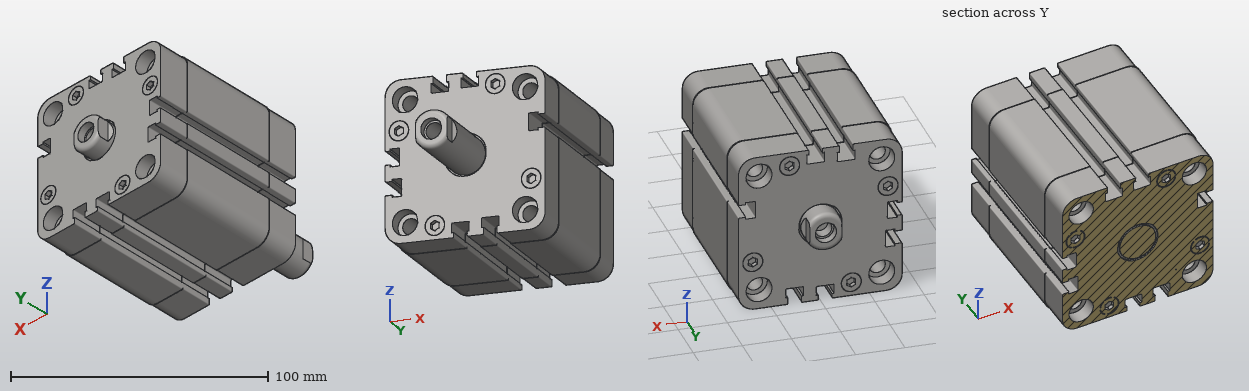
import cadquery as cq
import math


tube_width = 67.0
cap_inset = 0.2
corner_radius = 6.6
cap_length = 14.8
body_length = 75.5
tube_length = body_length - 2 * cap_length

slot_opening = 5.5
slot_floor_width = 6.7
slot_mouth_radius = 0.5
slot_floor_radius = 0.5
cut_overrun = 1.2
deep_slot_offset = -10.5
deep_slot_lip = 30.4
deep_slot_floor = 26.6
deep_slot_turns = (0, 90, 180, 270)
shallow_slot_offset = 1.9
shallow_slot_lip = 31.2
shallow_slot_floor = 27.5
shallow_slot_turns = (0, 90, 180)

mount_offset = 25.0
mount_diameter = 6.6
mount_bore_diameter = 10.5
mount_bore_depth = 6.3

screw_offset = 12.5
screw_height = 27.5
screw_bore_diameter = 8.2
screw_head_diameter = 8.0
screw_gap_depth = 2.4
socket_width = 3.6
socket_depth = 2.2

rod_diameter = 16.0
rod_front_length = 37.5
rod_length = 120.5
rod_end_radius = 1.8
flat_width = 13.0
flat_length = 5.7
flat_step = (rod_diameter - flat_width) / 2
rod_mouth_diameter = 8.5
rod_mouth_depth = 3.6
rod_bore_diameter = 6.9
rod_bore_depth = 16.9
drill_point_angle = 118.0

guide_diameter = 17.6
guide_depth = 1.2


def cylinder(diameter, start, length, x=0.0, z=0.0):
    """Cylinder along +Y from the given start."""
    return cq.Workplane(cq.Solid.makeCylinder(diameter / 2, length, cq.Vector(x, start, z), cq.Vector(0, 1, 0)))


def turn(shape, angle):
    """Turn a shape about the rod axis."""
    return shape.rotate((0, 0, 0), (0, -1, 0), angle)


def mirror_ends(shape):
    """Copy of a shape mirrored to the opposite end of the body."""
    return shape.mirror("XZ", (0, body_length / 2, 0))


def slot(offset, lip, floor, inset, length):
    """T-slot cutter for the top side with a rounded mouth, starting at Y = 0."""
    neck = slot_opening / 2
    foot = slot_floor_width / 2 + inset
    top = tube_width / 2 - inset
    mouth = neck + slot_mouth_radius
    shoulder = top - slot_mouth_radius
    reach = top + cut_overrun
    arc_step = slot_mouth_radius * (1 - math.sqrt(0.5))
    cutter = (
        cq.Workplane("XZ")
        .moveTo(-foot, floor - inset)
        .lineTo(foot, floor - inset)
        .lineTo(foot, lip)
        .lineTo(neck, lip)
        .lineTo(neck, shoulder)
        .threePointArc((neck + arc_step, top - arc_step), (mouth, top))
        .lineTo(mouth, reach)
        .lineTo(-mouth, reach)
        .lineTo(-mouth, top)
        .threePointArc((-neck - arc_step, top - arc_step), (-neck, shoulder))
        .lineTo(-neck, lip)
        .lineTo(-foot, lip)
        .close()
        .extrude(-length)
    )
    cutter = cutter.faces("<Z").edges("|Y").fillet(slot_floor_radius)
    return cutter.translate((offset, 0, 0))


def section(inset, start, length):
    """Slotted stretch of the body, drawn in by the given inset."""
    width = tube_width - 2 * inset
    piece = cq.Workplane("XY").box(width, length, width).edges("|Y").fillet(corner_radius)
    piece = piece.translate((0, length / 2, 0))
    deep_slot = slot(deep_slot_offset, deep_slot_lip, deep_slot_floor, inset, length)
    for angle in deep_slot_turns:
        piece = piece.cut(turn(deep_slot, angle))
    shallow_slot = slot(shallow_slot_offset, shallow_slot_lip, shallow_slot_floor, inset, length)
    for angle in shallow_slot_turns:
        piece = piece.cut(turn(shallow_slot, angle))
    return piece.translate((0, start, 0))


def make_body():
    """Tube and end caps with their mounting holes, cover screws and rod clearance."""
    front_cap = section(cap_inset, 0, cap_length)
    body = section(0, cap_length, tube_length).union(front_cap).union(mirror_ends(front_cap))

    for x in (-mount_offset, mount_offset):
        for z in (-mount_offset, mount_offset):
            bore = cylinder(mount_bore_diameter, 0, mount_bore_depth, x, z)
            body = body.cut(cylinder(mount_diameter, 0, body_length, x, z))
            body = body.cut(bore).cut(mirror_ends(bore))

    for angle in (0, 90, 180, 270):
        x, z = screw_position(angle)
        screw = screw_cutter(x, z)
        body = body.cut(screw).cut(mirror_ends(screw))

    guide = cylinder(guide_diameter, 0, guide_depth)
    return body.cut(guide).cut(mirror_ends(guide))


def screw_position(angle):
    """Centre of the first cover screw, turned about the rod axis."""
    turned = math.radians(angle)
    x = screw_offset * math.cos(turned) - screw_height * math.sin(turned)
    z = screw_offset * math.sin(turned) + screw_height * math.cos(turned)
    return x, z


def screw_cutter(x, z):
    """Gap around a screw head together with its hexagon socket, corners up and down."""
    gap = cylinder(screw_bore_diameter, 0, screw_gap_depth, x, z)
    gap = gap.cut(cylinder(screw_head_diameter, 0, screw_gap_depth, x, z))
    corner_diameter = 2 * socket_width / math.sqrt(3)
    socket = cq.Workplane("XZ").polygon(6, corner_diameter).extrude(-socket_depth)
    return gap.union(turn(socket, 90).translate((x, 0, z)))


def wrench_flat():
    """Cutter for the +X flat at the front rod end, closed by a 45 degree ramp."""
    inner = flat_width / 2
    outer = inner + 2 * flat_step
    outline = [
        (inner, -rod_front_length),
        (outer, -rod_front_length),
        (outer, -rod_front_length + flat_length + 2 * flat_step),
        (inner, -rod_front_length + flat_length),
    ]
    return cq.Workplane("XY").polyline(outline).close().extrude(rod_diameter / 2, both=True)


def rod_bore():
    """Drilled bore with a counterbored mouth and a conical bottom, for the front rod end."""
    radius = rod_bore_diameter / 2
    mouth = rod_mouth_diameter / 2
    point_length = radius / math.tan(math.radians(drill_point_angle / 2))
    outline = [
        (0, 0),
        (mouth, 0),
        (mouth, rod_mouth_depth),
        (radius, rod_mouth_depth),
        (radius, rod_bore_depth),
        (0, rod_bore_depth + point_length),
    ]
    bore = cq.Workplane("XY").polyline(outline).close().revolve(360, (0, 0, 0), (0, 1, 0))
    return bore.translate((0, -rod_front_length, 0))


def make_rod():
    """Through rod with wrench flats and a drilled bore at both ends."""
    rod = cylinder(rod_diameter, -rod_front_length, rod_length).edges("%CIRCLE").fillet(rod_end_radius)
    center = (0, rod_length / 2 - rod_front_length, 0)
    cutters = rod_bore().union(wrench_flat()).union(wrench_flat().mirror("YZ"))
    return rod.cut(cutters).cut(cutters.mirror("XZ", center))


result = make_body().union(make_rod())